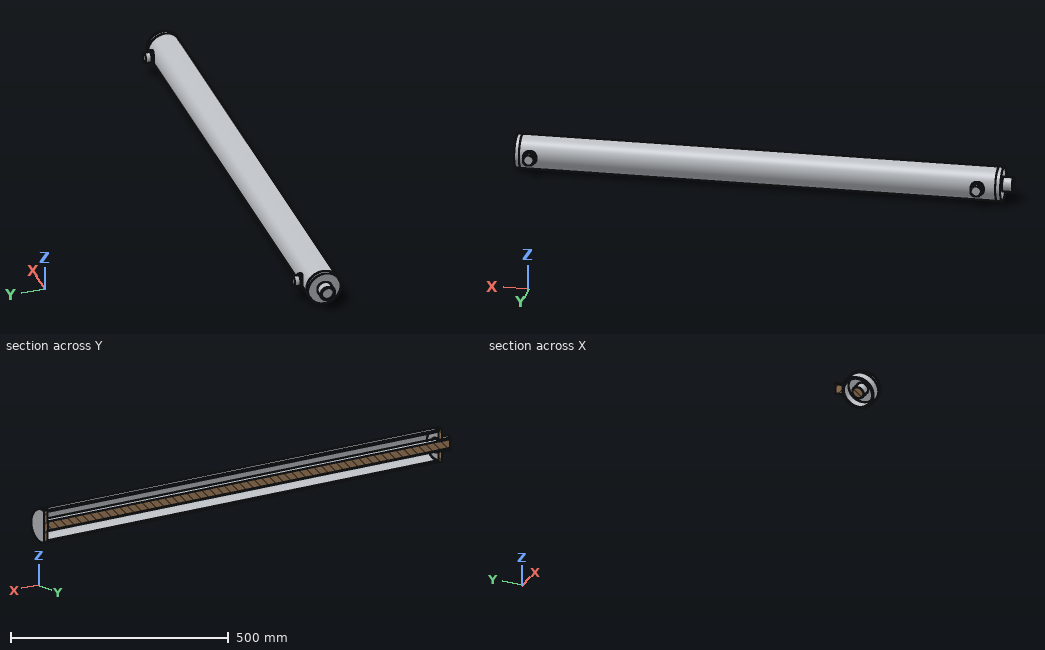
import cadquery as cq

overall_length = 1160.0
rod_exposed_length = 23.0
cap_thickness = 12.0

barrel_diameter = 80.0
bore_diameter = 70.0
sleeve_diameter = 35.0
rod_diameter = 29.0
port_diameter = 25.0

port_tip_y = 57.4
port_positions_x = (77.0, 1123.0)

bead_width = 2.9
bead_height = 5.0
bead_bevel = 2.0

barrel_start = rod_exposed_length + cap_thickness
barrel_end = overall_length - cap_thickness


def cylinder_along_x(diameter, start, end):
    """Solid round bar on the X axis between two X positions."""
    return cq.Workplane("YZ", origin=(start, 0, 0)).circle(diameter / 2).extrude(end - start)


def make_bore():
    """Inner space of the barrel, closed at both ends by the caps."""
    return cylinder_along_x(bore_diameter, barrel_start, barrel_end)


def make_barrel():
    """Tube between the two caps."""
    outside = cylinder_along_x(barrel_diameter, barrel_start, barrel_end)
    return outside.cut(make_bore())


def make_rod():
    """Rod that runs from the sleeve tip to the rear cap."""
    return cylinder_along_x(rod_diameter, 0, barrel_end)


def make_sleeve():
    """Sleeve around the rod, passing through the front cap."""
    outside = cylinder_along_x(sleeve_diameter, 0, barrel_start)
    return outside.cut(make_rod())


def make_front_cap():
    """Disc with a matching hole for the sleeve."""
    disc = cylinder_along_x(barrel_diameter, rod_exposed_length, barrel_start)
    return disc.cut(cylinder_along_x(sleeve_diameter, rod_exposed_length, barrel_start))


def make_rear_cap():
    """Plain disc that closes the far end."""
    return cylinder_along_x(barrel_diameter, barrel_end, overall_length)


def make_stub(diameter, position_x):
    """Round bar along +Y from the cylinder axis to the height of the port tips."""
    facing_y = cq.Plane(origin=(position_x, 0, 0), xDir=(1, 0, 0), normal=(0, 1, 0))
    return cq.Workplane(facing_y).circle(diameter / 2).extrude(port_tip_y)


def make_envelope():
    """Full outer cylinder of the barrel and caps, which shapes the port and bead feet."""
    return cylinder_along_x(barrel_diameter, rod_exposed_length, overall_length)


def make_port(position_x):
    """Round stub whose foot is shaped to sit on the outside of the barrel."""
    return make_stub(port_diameter, position_x).cut(make_envelope())


def make_bead(position_x):
    """Beveled weld ring that follows the barrel surface around the foot of a port."""
    raised_diameter = barrel_diameter + 2 * bead_height
    raised_surface = cylinder_along_x(raised_diameter, rod_exposed_length, overall_length)
    post = make_stub(port_diameter + 2 * bead_width, position_x).intersect(raised_surface)
    post = post.faces(">Y").edges().chamfer(bead_bevel)
    return post.cut(make_envelope()).cut(make_stub(port_diameter, position_x))


barrel = make_barrel()
rod = make_rod()
sleeve = make_sleeve()
front_cap = make_front_cap()
rear_cap = make_rear_cap()
ports = [make_port(position_x) for position_x in port_positions_x]
beads = [make_bead(position_x) for position_x in port_positions_x]

result = cq.Compound.makeCompound(
    [
        barrel.val(),
        rod.val(),
        sleeve.val(),
        front_cap.val(),
        rear_cap.val(),
        *[port.val() for port in ports],
        *[bead.val() for bead in beads],
    ]
)